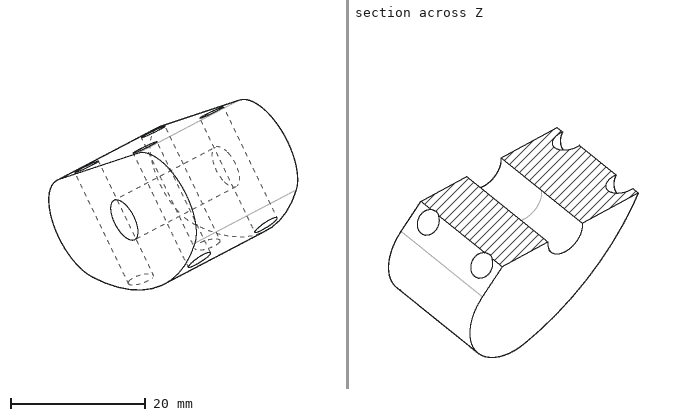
import cadquery as cq
import math

thickness = 19.05
end_radius = 8.25
end_spacing = 27.22
back_radius = 36.5
tilt_angle = 45.0
bore_diameter = 6.6
bore_offset = 0.62
mount_diameter = 3.9
mount_spacing_long = 20.0
mount_spacing_wide = 12.5

half_spacing = end_spacing / 2
end_z = bore_offset
flat_z = end_z + end_radius

center_distance = back_radius - end_radius
back_center_z = end_z + math.sqrt(center_distance**2 - half_spacing**2)
back_z = back_center_z - back_radius
tangent_scale = back_radius / center_distance
tangent_x = half_spacing * tangent_scale
tangent_z = back_center_z + (end_z - back_center_z) * tangent_scale


def make_body():
    """Flat front, two rounded ends and a tangent bulged back."""
    return (
        cq.Workplane("XZ")
        .moveTo(-half_spacing, flat_z)
        .lineTo(half_spacing, flat_z)
        .threePointArc((half_spacing + end_radius, end_z), (tangent_x, tangent_z))
        .threePointArc((0, back_z), (-tangent_x, tangent_z))
        .threePointArc((-half_spacing - end_radius, end_z), (-half_spacing, flat_z))
        .close()
        .extrude(thickness / 2, both=True)
    )


def make_bore():
    """Cylinder along Y through the full thickness."""
    return cq.Workplane("XZ").circle(bore_diameter / 2).extrude(thickness, both=True)


def make_mount_holes():
    """Four cylinders running from the flat out through the back."""
    return (
        cq.Workplane("XY")
        .workplane(offset=back_z)
        .rarray(mount_spacing_long, mount_spacing_wide, 2, 2)
        .circle(mount_diameter / 2)
        .extrude(flat_z - back_z)
    )


block = make_body().cut(make_bore()).cut(make_mount_holes())
result = block.rotate((0, 0, 0), (0, 1, 0), -tilt_angle)